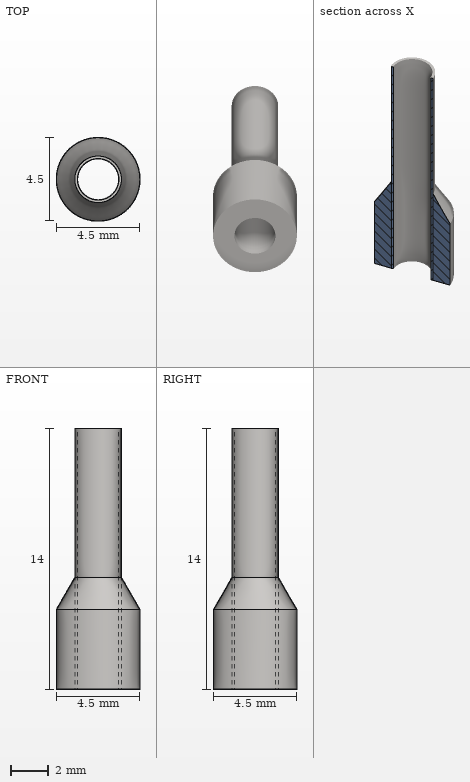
import cadquery as cq
import math

total_length = 14.0
bare_tube_length = 8.0
tube_outer_diameter = 2.5
tube_inner_diameter = 2.2
collar_diameter = 4.5
cone_half_angle = 30.0

tube_radius = tube_outer_diameter / 2
collar_radius = collar_diameter / 2
collar_length = total_length - bare_tube_length
cone_height = (collar_radius - tube_radius) / math.tan(math.radians(cone_half_angle))
collar_straight_length = collar_length - cone_height


def make_tube():
    """Thin-walled tube that runs the full length of the ferrule."""
    return (
        cq.Workplane("XY")
        .circle(tube_radius)
        .circle(tube_inner_diameter / 2)
        .extrude(total_length)
    )


def make_collar():
    """Insulating sleeve that tapers down to the tube's outer surface."""
    half_profile = [
        (tube_radius, 0),
        (collar_radius, 0),
        (collar_radius, collar_straight_length),
        (tube_radius, collar_length),
    ]
    return (
        cq.Workplane("XZ")
        .polyline(half_profile)
        .close()
        .revolve(360, (0, 0, 0), (0, 1, 0))
    )


tube = make_tube()
collar = make_collar()

result = cq.Compound.makeCompound([tube.val(), collar.val()])